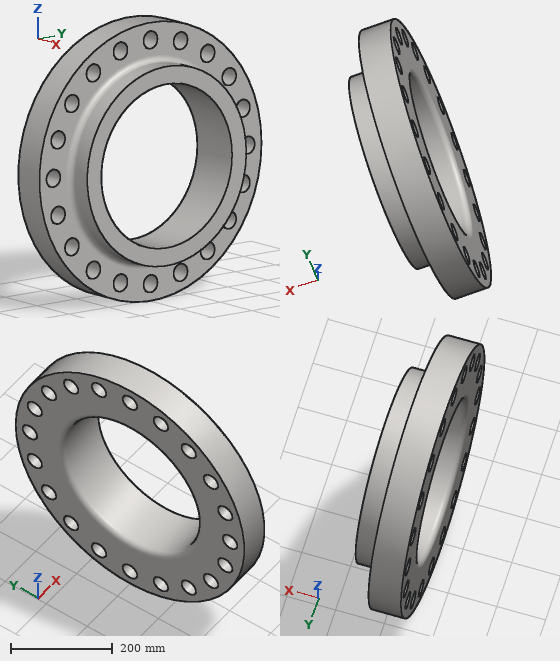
import cadquery as cq

LENGTH = 117.47
FLANGE_DIAMETER = 558.8
FLANGE_THICKNESS = 66.7
HUB_DIAMETER = 400.0
BORE_DIAMETER = 328.7
LAP_RADIUS = 12.7
HUB_FILLET_RADIUS = 12.7

BOLT_COUNT = 20
BOLT_CIRCLE_DIAMETER = 489.0
BOLT_HOLE_DIAMETER = 35.0
FIRST_HOLE_ANGLE = 90


def disc(diameter, start, length):
    """Solid cylinder on the X axis, beginning at X = start."""
    return cq.Workplane("YZ", origin=(start, 0, 0)).circle(diameter / 2).extrude(length)


def make_body():
    """Flange plate and hub, joined by a fillet at the hub root."""
    plate = disc(FLANGE_DIAMETER, 0, FLANGE_THICKNESS)
    hub = disc(HUB_DIAMETER, 0, LENGTH)
    back_face = cq.selectors.NearestToPointSelector((FLANGE_THICKNESS, 0, 0))
    hub_root = cq.selectors.RadiusNthSelector(0)
    return plate.union(hub).faces(back_face).edges(hub_root).fillet(HUB_FILLET_RADIUS)


def cut_bore(body):
    """Through bore with its mouth rounded at the lap face."""
    bored = body.cut(disc(BORE_DIAMETER, 0, LENGTH))
    bore_mouth = cq.selectors.RadiusNthSelector(0)
    return bored.faces("<X").edges(bore_mouth).fillet(LAP_RADIUS)


def cut_bolt_holes(body):
    """Evenly spaced through holes, one of them straight above the axis."""
    holes = (
        cq.Workplane("YZ")
        .polarArray(BOLT_CIRCLE_DIAMETER / 2, FIRST_HOLE_ANGLE, 360, BOLT_COUNT)
        .circle(BOLT_HOLE_DIAMETER / 2)
        .extrude(FLANGE_THICKNESS)
    )
    return body.cut(holes)


result = cut_bolt_holes(cut_bore(make_body()))